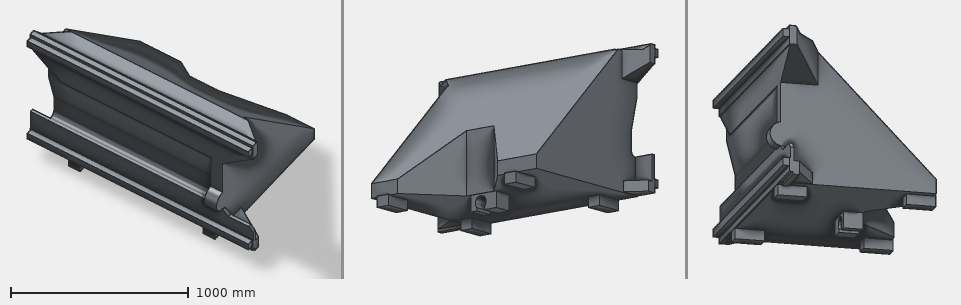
import cadquery as cq
import math


width = 1523.0
height = 955.0
half_width = width / 2

body_left = -641.0
body_right = 551.0
body_bottom = 96.0
body_back = 906.0
back_wall_top = 180.0
body_top = 920.0
slope_top_y = 170.0
lip_foot_y = 65.0
lip_top_y = 30.0
pad_front = -5.0
skin_thickness = 5.0

notch_floor_y = 615.0
notch_floor_half = 99.0
notch_mouth_half = 361.0

upper_bracket_bottom = 845.0
taper_bottom = 680.0
upper_end_depth = 40.0
upper_diagonal_slope = 0.85

lower_plate_thickness = 21.0
lower_plate_top = 320.0
lower_bracket_top = 165.0
lower_bracket_bottom = 100.0
lower_pad_top = 183.0
lower_end_depth = 52.0
lower_diagonal_slope = 0.63
step_top = 274.0
step_start_x = 591.0
step_start_z = 308.0
corner_chamfer = 32.0
skid_left = 520.0
skid_front = 15.0
skid_bottom = 85.0

rail_front = -41.0
rail_height = 45.0
rail_end_gap = 6.0
upper_rail_bottom = 890.0
lower_rail_bottom = 135.0

pocket_right = 472.0
pocket_depth = 56.0
pocket_slope_top = 672.0
pocket_slope_bottom = 468.0
pocket_floor_radius = 34.0

boss_radius = 70.0
boss_front = -61.0
boss_z = 380.0
boss_overhang = 3.0
collar_overhang = 2.0

foot_width = 80.0
foot_spacing = 922.0
foot_length = 170.0
foot_bottom = 35.0
foot_top = 100.0
foot_front = -3.0
foot_back = 917.0

hook_left = -113.0
hook_right = 69.0
hook_front = 495.0
hook_back = 611.0
keyhole_radius = 38.0
keyhole_z = 45.0
keyhole_slot_width = 55.0


def box(x_range, y_range, z_range):
    """Block between two limits along each axis."""
    (x0, x1), (y0, y1), (z0, z1) = x_range, y_range, z_range
    return cq.Workplane("XY").box(x1 - x0, y1 - y0, z1 - z0, centered=False).translate((x0, y0, z0))


def extrude_along_x(points, x0, x1):
    """Prism from a side outline of (Y, Z) points."""
    return cq.Workplane("YZ").workplane(offset=x0).polyline(points).close().extrude(x1 - x0)


def extrude_along_y(points, y0, y1):
    """Prism from a front outline of (X, Z) points."""
    return cq.Workplane("XZ").workplane(offset=-y0).polyline(points).close().extrude(y0 - y1)


def extrude_up(points, z0, z1):
    """Prism from a plan outline of (X, Y) points."""
    return cq.Workplane("XY").workplane(offset=z0).polyline(points).close().extrude(z1 - z0)


def wedge(x0, x1, front):
    """Triangular side outline of the part, with the raised lip at its top front edge."""
    outline = [
        (front, body_bottom),
        (body_back, body_bottom),
        (body_back, back_wall_top),
        (slope_top_y, body_top),
        (lip_foot_y, body_top),
        (lip_top_y, height),
        (front, height),
    ]
    return extrude_along_x(outline, x0, x1)


def bracket_plan(front, end_depth, diagonal_slope, z0, z1):
    """Full-width block whose back corners run diagonally in to the body sides."""
    depth_at_body = end_depth + diagonal_slope * (half_width - body_right)
    outline = [
        (-half_width, front),
        (half_width, front),
        (half_width, end_depth),
        (body_right, depth_at_body),
        (-body_right, depth_at_body),
        (-half_width, end_depth),
    ]
    return extrude_up(outline, z0, z1)


def make_pocket():
    floor_y = pocket_depth - pocket_floor_radius
    arc_z = lower_plate_top + pocket_floor_radius
    diagonal = pocket_floor_radius * math.sin(math.radians(45))
    clear_of_face = boss_front
    return (
        cq.Workplane("YZ")
        .workplane(offset=body_left)
        .moveTo(clear_of_face, body_top)
        .lineTo(skin_thickness, body_top)
        .lineTo(skin_thickness, pocket_slope_top)
        .lineTo(pocket_depth, pocket_slope_bottom)
        .lineTo(pocket_depth, arc_z)
        .threePointArc((floor_y + diagonal, arc_z - diagonal), (floor_y, lower_plate_top))
        .lineTo(clear_of_face, lower_plate_top)
        .close()
        .extrude(pocket_right - body_left)
    )


def make_body():
    notch = extrude_up(
        [
            (-notch_mouth_half, body_back),
            (-notch_floor_half, notch_floor_y),
            (notch_floor_half, notch_floor_y),
            (notch_mouth_half, body_back),
        ],
        0,
        height,
    )
    above_body = box((body_left, body_right), (0, body_back), (body_top - skin_thickness, height))
    return wedge(body_left, body_right, 0).cut(above_body).cut(notch).cut(make_pocket())


def make_upper_bracket():
    front_outline = [
        (-half_width, height),
        (half_width, height),
        (half_width, upper_bracket_bottom),
        (body_right, taper_bottom),
        (-body_right, taper_bottom),
        (-half_width, upper_bracket_bottom),
    ]
    taper = extrude_along_y(front_outline, pad_front, body_back)
    plan = bracket_plan(pad_front, upper_end_depth, upper_diagonal_slope, taper_bottom, height)
    below_pad = box((-half_width, half_width), (pad_front, 0), (taper_bottom, upper_bracket_bottom))
    bracket = wedge(-half_width, half_width, pad_front).intersect(taper).intersect(plan).cut(below_pad)
    pocket_zone = box((-half_width, pocket_right), (skin_thickness, pocket_depth), (0, pocket_slope_top))
    return bracket.cut(pocket_zone)


def make_lower_bracket():
    plate_outline = [
        (-half_width, lower_bracket_bottom),
        (half_width, lower_bracket_bottom),
        (half_width, step_top - corner_chamfer),
        (half_width - corner_chamfer, step_top),
        (step_start_x, step_top),
        (body_right, step_start_z),
        (body_right, lower_plate_top),
        (-half_width, lower_plate_top),
    ]
    plate = extrude_along_y(plate_outline, 0, lower_plate_thickness)
    block = bracket_plan(
        0, lower_end_depth, lower_diagonal_slope, lower_bracket_bottom, lower_bracket_top
    )
    pad = box((-half_width, half_width), (pad_front, 0), (lower_bracket_bottom, lower_pad_top))
    skid = box((skid_left, half_width), (skid_front, lower_end_depth), (skid_bottom, lower_bracket_bottom))
    return plate.union(block).union(pad).union(skid)


def make_rail(bottom):
    rail_half = half_width - rail_end_gap
    return box((-rail_half, rail_half), (rail_front, pad_front), (bottom, bottom + rail_height))


def make_boss():
    boss_y = boss_front + boss_radius
    boss_left = pocket_right - boss_overhang
    disc = (
        cq.Workplane("YZ")
        .workplane(offset=boss_left)
        .center(boss_y, boss_z)
        .circle(boss_radius)
        .extrude(body_right - boss_left)
    )
    collar_left = pocket_right - collar_overhang
    collar = box((collar_left, body_right), (0, pocket_depth), (boss_z, boss_z + boss_radius))
    return disc.union(collar)


def make_foot(x_centre, front):
    x_range = (x_centre - foot_width / 2, x_centre + foot_width / 2)
    return box(x_range, (front, front + foot_length), (foot_bottom, foot_top))


def make_hook():
    hook = box((hook_left, hook_right), (hook_front, hook_back), (0, body_bottom))
    hole = (
        cq.Workplane("XZ")
        .workplane(offset=-hook_back)
        .center(0, keyhole_z)
        .circle(keyhole_radius)
        .extrude(hook_back - hook_front)
    )
    slot_half = keyhole_slot_width / 2
    slot = box((-slot_half, slot_half), (hook_front, hook_back), (0, keyhole_z))
    return hook.cut(hole).cut(slot)


result = make_body().union(make_upper_bracket()).union(make_lower_bracket())
for rail_bottom in (lower_rail_bottom, upper_rail_bottom):
    result = result.union(make_rail(rail_bottom))
result = result.union(make_boss()).union(make_hook())
for foot_x in (-foot_spacing / 2, foot_spacing / 2):
    for front in (foot_front, foot_back - foot_length):
        result = result.union(make_foot(foot_x, front))